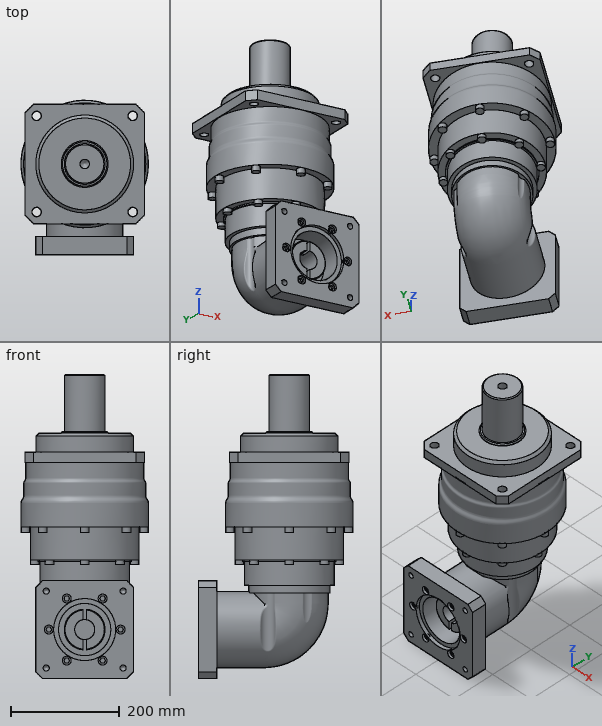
import cadquery as cq
import math


motor_plate_size = 180.0
motor_plate_thickness = 34.0
motor_plate_chamfer = 12.5
motor_face_y = -167.0
motor_plate_back_y = motor_face_y + motor_plate_thickness
motor_hole_pitch = 141.5
motor_hole_diameter = 11.0
motor_hole_depth = 22.5

screw_count = 6
screw_circle_radius = 66.0
screw_pocket_diameter = 16.0
screw_pocket_depth = 5.5
screw_socket_size = 10.5
socket_sides = 6
screw_socket_depth = 5.5

pilot_recess_radius = 57.0
pilot_recess_depth = 8.5
bore_radius = 48.0
bore_depth = 56.0
hub_radius = 37.5
hub_chamfer = 1.4
hub_face_depth = 31.5
hub_bore_radius = 18.5
hub_bore_depth = 84.0
hub_slot_width = 6.0

overall_height = 559.0
top_z = overall_height - motor_plate_size / 2
shaft_length = 108.0
collar_height = 3.5
pilot_height = 34.5
flange_thickness = 19.5
pilot_top_z = top_z - shaft_length
flange_top_z = pilot_top_z - pilot_height
flange_bottom_z = flange_top_z - flange_thickness
neck_bottom_z = 278.0
upper_step_height = 9.0
band_bottom_z = 246.5
lower_step_height = 14.0
drum_bottom_z = 189.0
stage_bottom_z = 128.0
lip_bottom_z = 125.0
collar_stage_bottom_z = 81.0
elbow_top_z = 67.0

shaft_radius = 37.5
shaft_chamfer = 2.0
collar_radius = 43.0
collar_chamfer = 2.0
pilot_radius = 90.0
pilot_chamfer = 5.5
neck_radius = 109.0
band_radius = 112.5
drum_radius = 117.5
stage_radius = 100.0
lip_radius = 86.0
collar_stage_radius = 83.0
elbow_ring_radius = 75.0

flange_size = 220.5
flange_chamfer = 16.0
flange_hole_pitch = 176.5
flange_hole_diameter = 17.0

centre_hole_diameter = 17.5
centre_hole_depth = 42.0

bolt_count = 8
bolt_diameter = 16.0
drum_bolt_height = 10.5
stage_bolt_height = 8.5
bolt_edge_inset = 0.3

elbow_radius = 70.5
elbow_centre_y = 1.4
bend_axis_y = -46.0

groove_radius = 13.5
groove_centre_x = 71.0
groove_centre_y = 38.5
groove_length = 134.0
groove_mouth_fillet = 3.0
edge_tolerance = 0.1


def disc_z(radius, bottom, top):
    """Cylinder about the output axis."""
    return cq.Workplane("XY").workplane(offset=bottom).circle(radius).extrude(top - bottom)


def disc_y(radius, front, back):
    """Cylinder about the motor axis, from front (more negative Y) to back."""
    return cq.Workplane("XZ", origin=(0, front, 0)).circle(radius).extrude(front - back)


def s_curve_step(profile, radius_in, radius_out, top, height):
    """Continue a radius-height profile down a step made of two equal tangent arcs."""
    rise = radius_out - radius_in
    half_angle = math.atan(rise / height)
    arc_radius = height / 2 / math.sin(2 * half_angle)
    along = arc_radius * math.sin(half_angle)
    across = arc_radius * (1 - math.cos(half_angle))
    middle = ((radius_in + radius_out) / 2, top - height / 2)
    return (
        profile.threePointArc((radius_in + across, top - along), middle)
        .threePointArc((radius_out - across, top - height + along), (radius_out, top - height))
    )


def housing():
    """Stepped round housing below the output flange."""
    profile = cq.Workplane("XZ").moveTo(0, flange_bottom_z).lineTo(neck_radius, flange_bottom_z)
    profile = profile.lineTo(neck_radius, neck_bottom_z)
    profile = s_curve_step(profile, neck_radius, band_radius, neck_bottom_z, upper_step_height)
    profile = profile.lineTo(band_radius, band_bottom_z)
    profile = s_curve_step(profile, band_radius, drum_radius, band_bottom_z, lower_step_height)
    profile = profile.lineTo(drum_radius, drum_bottom_z).lineTo(0, drum_bottom_z).close()
    body = profile.revolve(360, (0, 0, 0), (0, 1, 0))
    body = body.union(disc_z(stage_radius, stage_bottom_z, drum_bottom_z))
    body = body.union(disc_z(lip_radius, lip_bottom_z, stage_bottom_z))
    body = body.union(disc_z(collar_stage_radius, collar_stage_bottom_z, lip_bottom_z))
    return body.union(disc_z(elbow_ring_radius, elbow_top_z, collar_stage_bottom_z))


def bolt_ring(rim_radius, seat_z, head_height):
    """Bolt heads hanging below a shoulder, just inside its rim."""
    circle_radius = rim_radius - bolt_diameter / 2 - bolt_edge_inset
    return (
        cq.Workplane("XY", origin=(0, 0, seat_z))
        .polarArray(circle_radius, 0, 360, bolt_count)
        .circle(bolt_diameter / 2)
        .extrude(-head_height)
    )


def output_end():
    """Square flange with its pilot, collar and shaft."""
    flange = (
        cq.Workplane("XY", origin=(0, 0, flange_bottom_z))
        .rect(flange_size, flange_size)
        .extrude(flange_thickness)
        .edges("|Z").chamfer(flange_chamfer)
        .faces(">Z").workplane()
        .rect(flange_hole_pitch, flange_hole_pitch, forConstruction=True).vertices()
        .hole(flange_hole_diameter)
    )
    pilot = disc_z(pilot_radius, flange_top_z, pilot_top_z).faces(">Z").chamfer(pilot_chamfer)
    collar = disc_z(collar_radius, pilot_top_z, pilot_top_z + collar_height)
    collar = collar.faces(">Z").chamfer(collar_chamfer)
    shaft = disc_z(shaft_radius, pilot_top_z, top_z).faces(">Z").chamfer(shaft_chamfer)
    return flange.union(pilot).union(collar).union(shaft)


def drilled_hole(diameter, depth):
    """Blind hole tool along -Z from the origin, ending in a 90 degree drill point."""
    radius = diameter / 2
    return (
        cq.Workplane("XZ")
        .polyline([(0, 0), (radius, 0), (radius, -depth), (0, -depth - radius)]).close()
        .revolve(360, (0, 0, 0), (0, 1, 0))
    )


def is_groove_mouth(edge):
    """True for an edge lying on a groove wall below the elbow's top face."""
    on_wall = True
    for position in (0, 0.5, 1):
        point = edge.positionAt(position)
        distance = math.hypot(abs(point.x) - groove_centre_x, abs(point.y) - groove_centre_y)
        on_wall = on_wall and abs(distance - groove_radius) < edge_tolerance
    return on_wall and edge.Center().z < elbow_top_z - edge_tolerance


def elbow():
    """Bent pipe joining the round housing to the motor flange."""
    half_chord = math.sqrt(elbow_radius**2 - (elbow_centre_y - bend_axis_y)**2)
    bend_axis_z = elbow_centre_y - bend_axis_y
    upright = disc_z(elbow_radius, bend_axis_z, elbow_top_z).translate((0, elbow_centre_y, 0))
    bend = (
        cq.Workplane("XY", origin=(0, 0, bend_axis_z))
        .moveTo(-half_chord, bend_axis_y)
        .threePointArc((0, elbow_centre_y + elbow_radius), (half_chord, bend_axis_y))
        .close()
        .revolve(90, (5.5, bend_axis_y, 0), (0, bend_axis_y, 0))
    )
    pipe = disc_y(elbow_radius, motor_plate_back_y, bend_axis_y)
    grooves = (
        cq.Workplane("XY", origin=(0, 0, elbow_top_z))
        .rect(2 * groove_centre_x, 2 * groove_centre_y, forConstruction=True).vertices()
        .circle(groove_radius)
        .extrude(-groove_length)
    )
    grooved = upright.union(bend).union(pipe).cut(grooves)
    return grooved.edges().filter(is_groove_mouth).fillet(groove_mouth_fillet)


def motor_plate():
    """Square plate carrying the motor."""
    return (
        cq.Workplane("XZ", origin=(0, motor_plate_back_y, 0))
        .rect(motor_plate_size, motor_plate_size)
        .extrude(motor_plate_thickness)
        .edges("|Y").chamfer(motor_plate_chamfer)
    )


def motor_bore():
    """Stepped bore tool that leaves the slotted clamping hub standing inside."""
    recess = disc_y(pilot_recess_radius, motor_face_y, motor_face_y + pilot_recess_depth)
    bore = disc_y(bore_radius, motor_face_y, motor_face_y + bore_depth)
    hub_face_y = motor_face_y + hub_face_depth
    hub_length = bore_depth - hub_face_depth
    hub = disc_y(hub_radius, hub_face_y, motor_face_y + bore_depth).faces("<Y").chamfer(hub_chamfer)
    slot = cq.Workplane("XY", origin=(0, hub_face_y + hub_length / 2, 0)).box(
        hub_slot_width, hub_length, 2 * hub_radius
    )
    hub_bore = disc_y(hub_bore_radius, hub_face_y, motor_face_y + hub_bore_depth)
    return recess.union(bore).cut(hub.cut(slot)).union(hub_bore)


def motor_face_holes():
    """Corner holes and recessed socket screws cut into the motor face."""
    face = cq.Workplane("XZ", origin=(0, motor_face_y, 0))
    corner_hole = drilled_hole(motor_hole_diameter, motor_hole_depth).rotate((0, 0, 0), (1, 0, 0), 90)
    half_pitch = motor_hole_pitch / 2
    holes = face.polarArray(screw_circle_radius, 0, 360, screw_count).circle(screw_pocket_diameter / 2)
    holes = holes.extrude(-screw_pocket_depth)
    sockets = face.polarArray(screw_circle_radius, 0, 360, screw_count)
    sockets = sockets.polygon(socket_sides, screw_socket_size)
    holes = holes.union(sockets.extrude(-screw_pocket_depth - screw_socket_depth))
    for x in (-half_pitch, half_pitch):
        for z in (-half_pitch, half_pitch):
            holes = holes.union(corner_hole.translate((x, motor_face_y, z)))
    return holes


result = housing().union(output_end()).union(elbow()).union(motor_plate())
result = result.union(bolt_ring(drum_radius, drum_bottom_z, drum_bolt_height))
result = result.union(bolt_ring(stage_radius, stage_bottom_z, stage_bolt_height))
result = result.cut(drilled_hole(centre_hole_diameter, centre_hole_depth).translate((0, 0, top_z)))
result = result.cut(motor_bore()).cut(motor_face_holes())